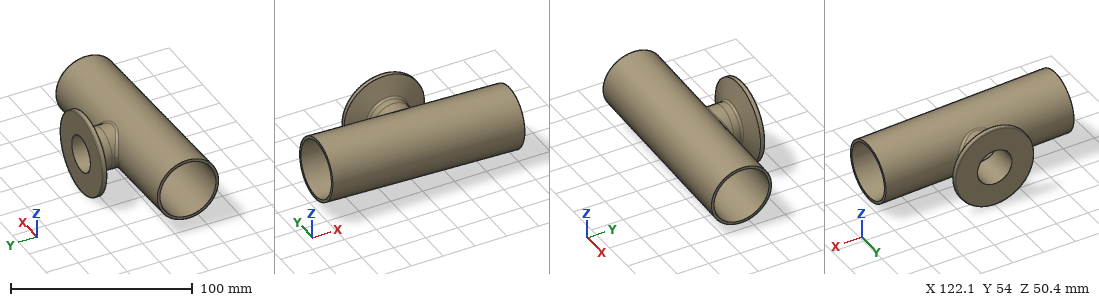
import cadquery as cq
import math

run_length = 120.65
run_outer_diameter = 38.1
run_bore_diameter = 34.8
slope_angle = 2.3

branch_outer_diameter = 25.4
branch_bore_diameter = 22.1
ferrule_face_y = 34.925
ferrule_length = 12.7
flange_diameter = 50.39
flange_rim_width = 2.85
flange_edge_radius = 0.4
flange_cone_angle = 20.0
cone_fillet_radius = 1.5
weld_fillet_radius = 1.6

selection_margin = 0.1

run_radius = run_outer_diameter / 2
branch_radius = branch_outer_diameter / 2
flange_radius = flange_diameter / 2
cone_length = (flange_radius - branch_radius) * math.tan(math.radians(flange_cone_angle))
cone_start_y = ferrule_face_y - flange_rim_width
cone_end_y = cone_start_y - cone_length
ferrule_end_y = ferrule_face_y - ferrule_length


def run_cylinder(diameter):
    """Cylinder as long as the run tube, on its tilted axis."""
    start = cq.Workplane("YZ").workplane(offset=-run_length / 2)
    cylinder = start.circle(diameter / 2).extrude(run_length)
    return cylinder.rotate((0, 0, 0), (0, 1, 0), slope_angle)


def branch_cylinder(diameter, end_y):
    """Cylinder along +Y from the run axis to end_y."""
    return cq.Workplane("XZ").circle(diameter / 2).extrude(-end_y)


def ferrule():
    """Clamp ferrule: flange rim, tapered back and a neck, revolved about the Y axis."""
    profile = (
        cq.Workplane("XY")
        .moveTo(0, ferrule_face_y)
        .lineTo(flange_radius, ferrule_face_y)
        .lineTo(flange_radius, cone_start_y)
        .lineTo(branch_radius, cone_end_y)
        .lineTo(branch_radius, ferrule_end_y)
        .lineTo(0, ferrule_end_y)
        .close()
    )
    body = profile.revolve(360, (0, 0, 0), (0, 1, 0))
    reach = flange_radius + selection_margin
    cone_root = cq.selectors.BoxSelector(
        (-reach, cone_end_y - selection_margin, -reach),
        (reach, cone_end_y + selection_margin, reach),
        boundingbox=True,
    )
    body = body.edges(cone_root).fillet(cone_fillet_radius)
    return body.faces(">Y").edges().fillet(flange_edge_radius)


def welded_outside():
    """Run tube and branch neck as solids, joined with a fillet around the saddle."""
    body = run_cylinder(run_outer_diameter).union(branch_cylinder(branch_outer_diameter, ferrule_end_y))
    reach = branch_radius + selection_margin
    saddle = cq.selectors.BoxSelector(
        (-reach, 0, -reach),
        (reach, run_radius + selection_margin, reach),
        boundingbox=True,
    )
    return body.edges(saddle).fillet(weld_fillet_radius)


outside = welded_outside().union(ferrule(), clean=False)
run_bore = run_cylinder(run_bore_diameter)
branch_bore = branch_cylinder(branch_bore_diameter, ferrule_face_y)
result = outside.cut(run_bore, clean=False).cut(branch_bore, clean=False)